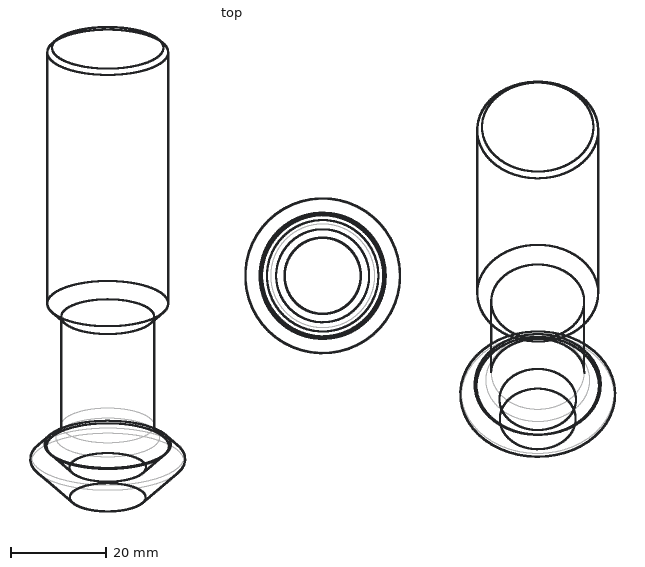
import cadquery as cq
import math

TOTAL_HEIGHT = 101.6

BARREL_RADIUS = 12.7
TOP_CHAMFER = 1.0
NECK_RADIUS = 9.8
NECK_TOP = 40.8
FLARE_FILLET_TOP = 16.3
FLARE_FILLET_RADIUS = 3.9

CAP_RADIUS = 16.3
CAP_WIDEST_HEIGHT = 8.6
CAP_EDGE_ROUND = 0.8
RIM_HEIGHT = 12.0
SEAT_RADIUS = 8.0

SIN_45 = math.sin(math.pi / 4)

edge_center_radius = CAP_RADIUS - CAP_EDGE_ROUND
edge_tangent_step = CAP_EDGE_ROUND * SIN_45
edge_radius = edge_center_radius + edge_tangent_step
edge_top = CAP_WIDEST_HEIGHT + edge_tangent_step
edge_bottom = CAP_WIDEST_HEIGHT - edge_tangent_step
rim_radius = edge_radius - (RIM_HEIGHT - edge_top)
cap_bottom_radius = edge_radius - edge_bottom

fillet_center_radius = NECK_RADIUS + FLARE_FILLET_RADIUS
flare_start_radius = fillet_center_radius - FLARE_FILLET_RADIUS * SIN_45
flare_start_height = FLARE_FILLET_TOP - FLARE_FILLET_RADIUS * SIN_45
fillet_middle = (
    fillet_center_radius - FLARE_FILLET_RADIUS * math.cos(math.pi / 8),
    FLARE_FILLET_TOP - FLARE_FILLET_RADIUS * math.sin(math.pi / 8),
)

flare_radius_at_rim = flare_start_radius + flare_start_height - RIM_HEIGHT
groove_depth = (rim_radius - flare_radius_at_rim) / 2
head_radius = rim_radius - groove_depth
head_height = RIM_HEIGHT - groove_depth
seat_floor = RIM_HEIGHT - (rim_radius - SEAT_RADIUS)


def revolve_about_z(profile):
    """Close a half profile drawn in radius and height and turn it about Z."""
    return profile.close().revolve(360, (0, 0, 0), (0, 1, 0))


def make_stem():
    """Thick barrel and thin neck, ending in a double-cone head."""
    profile = (
        cq.Workplane("XZ")
        .moveTo(0, seat_floor)
        .lineTo(SEAT_RADIUS, seat_floor)
        .lineTo(head_radius, head_height)
        .lineTo(flare_start_radius, flare_start_height)
        .threePointArc(fillet_middle, (NECK_RADIUS, FLARE_FILLET_TOP))
        .lineTo(NECK_RADIUS, NECK_TOP)
        .lineTo(BARREL_RADIUS, NECK_TOP + BARREL_RADIUS - NECK_RADIUS)
        .lineTo(BARREL_RADIUS, TOTAL_HEIGHT - TOP_CHAMFER)
        .lineTo(BARREL_RADIUS - TOP_CHAMFER, TOTAL_HEIGHT)
        .lineTo(0, TOTAL_HEIGHT)
    )
    return revolve_about_z(profile)


def make_cap():
    """Double-cone cap with a rounded edge and a conical seat for the stem head."""
    profile = (
        cq.Workplane("XZ")
        .lineTo(cap_bottom_radius, 0)
        .lineTo(edge_radius, edge_bottom)
        .threePointArc((CAP_RADIUS, CAP_WIDEST_HEIGHT), (edge_radius, edge_top))
        .lineTo(rim_radius, RIM_HEIGHT)
        .lineTo(SEAT_RADIUS, seat_floor)
        .lineTo(0, seat_floor)
    )
    return revolve_about_z(profile)


stem = make_stem()
cap = make_cap()

result = cq.Compound.makeCompound([stem.val(), cap.val()])